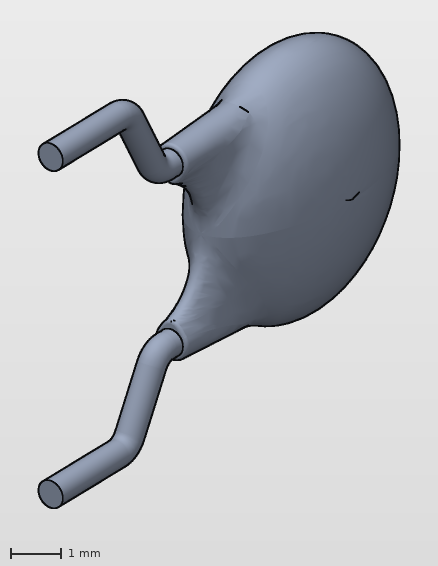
import cadquery as cq
import math

DISC_DIAMETER = 6.0
DISC_THICKNESS = 3.0

NECK_Z = 2.0
NECK_END_Y = -4.0
NECK_END_RADIUS = 0.4
NECK_TAPER = 3.0
NECK_BLEND_RADIUS = 1.57
NECK_RIM_ROUND = 0.08

OVERALL_LENGTH = 11.0
LEAD_TIP_SPACING = 7.49
LEAD_DIAMETER = 0.6
LEAD_TIP_Y = DISC_DIAMETER / 2 - OVERALL_LENGTH
LEAD_TIP_Z = LEAD_TIP_SPACING / 2
LEAD_BEND_START_Y = -4.21
LEAD_BEND_RADIUS = 0.5
LEAD_BEND_ANGLE = 60.0

NECK_TRIM = 2.2


def ellipsoid():
    """Half ellipse in the XY plane spun about the X axis."""
    half_thickness = DISC_THICKNESS / 2
    radius = DISC_DIAMETER / 2
    return (
        cq.Workplane("XY")
        .ellipseArc(half_thickness, radius, 0, 180, startAtCurrent=False)
        .close()
        .revolve(360, (0, 0, 0), (1, 0, 0))
    )


def long_neck():
    """Upper neck cone, from the disc's centre plane to beyond the trimmed end."""
    slope = math.tan(math.radians(NECK_TAPER))
    length = NECK_TRIM - NECK_END_Y
    root_radius = NECK_END_RADIUS - NECK_END_Y * slope
    tip_radius = NECK_END_RADIUS - NECK_TRIM * slope
    cone = cq.Solid.makeCone(
        root_radius, tip_radius, length, cq.Vector(0, 0, NECK_Z), cq.Vector(0, -1, 0)
    )
    return cq.Workplane(obj=cone)


def upper_envelope():
    """Block that keeps the part of the coating above Z = 0 and behind the neck end."""
    width = 2 * DISC_THICKNESS
    depth = DISC_DIAMETER - NECK_END_Y
    block = cq.Workplane("XY").box(width, depth, DISC_DIAMETER, centered=(True, False, False))
    return block.translate((0, NECK_END_Y, 0))


def make_coating():
    """Disc with two blended necks, mirrored about Z = 0."""
    blended = ellipsoid().union(long_neck())
    junction = cq.selectors.BoxSelector(
        (-DISC_THICKNESS, NECK_END_Y, 0), (DISC_THICKNESS, 0, DISC_DIAMETER)
    )
    blended = blended.edges(junction).fillet(NECK_BLEND_RADIUS)
    upper = blended.intersect(upper_envelope())
    upper = upper.faces("<Y").edges().fillet(NECK_RIM_ROUND)
    return upper.union(upper.mirror("XY"))


def make_lead(side):
    """Round wire from the neck end to the tip; side is +1 above, -1 below."""
    angle = math.radians(LEAD_BEND_ANGLE)
    bend_run = LEAD_BEND_RADIUS * math.sin(angle)
    bend_rise = LEAD_BEND_RADIUS * (1 - math.cos(angle))
    half_run = LEAD_BEND_RADIUS * math.sin(angle / 2)
    half_rise = LEAD_BEND_RADIUS * (1 - math.cos(angle / 2))
    ramp_rise = LEAD_TIP_Z - NECK_Z - 2 * bend_rise
    ramp_run = ramp_rise / math.tan(angle)
    bend_end_y = LEAD_BEND_START_Y - 2 * bend_run - ramp_run

    path = (
        cq.Workplane("YZ")
        .moveTo(NECK_END_Y, side * NECK_Z)
        .lineTo(LEAD_BEND_START_Y, side * NECK_Z)
        .threePointArc(
            (LEAD_BEND_START_Y - half_run, side * (NECK_Z + half_rise)),
            (LEAD_BEND_START_Y - bend_run, side * (NECK_Z + bend_rise)),
        )
        .lineTo(bend_end_y + bend_run, side * (LEAD_TIP_Z - bend_rise))
        .threePointArc(
            (bend_end_y + half_run, side * (LEAD_TIP_Z - half_rise)),
            (bend_end_y, side * LEAD_TIP_Z),
        )
        .lineTo(LEAD_TIP_Y, side * LEAD_TIP_Z)
    )
    section = cq.Workplane("XZ", origin=(0, NECK_END_Y, side * NECK_Z)).circle(LEAD_DIAMETER / 2)
    return section.sweep(path)


coating = make_coating()
leads = [make_lead(side) for side in (1, -1)]

result = cq.Compound.makeCompound([coating.val(), *(lead.val() for lead in leads)])